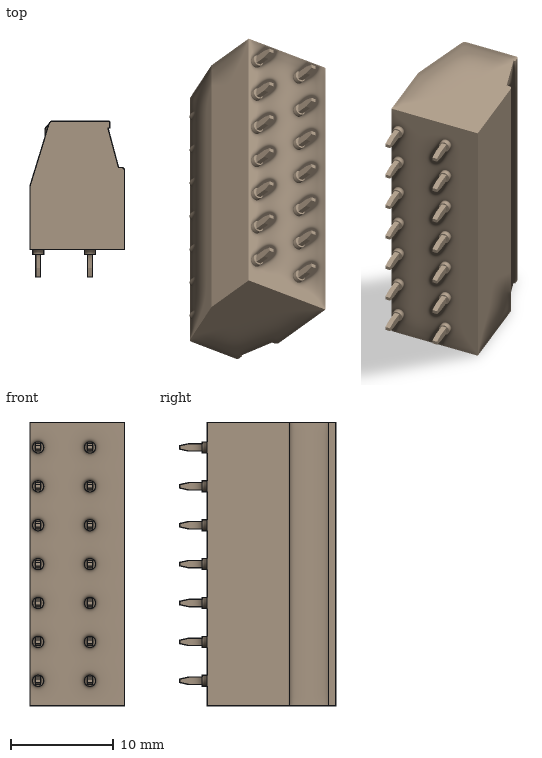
import cadquery as cq
import math

pole_count = 7
pole_pitch = 3.81
body_length = 27.78
pole_heights = [(i - (pole_count - 1) / 2) * pole_pitch for i in range(pole_count)]

body_width = 9.3
body_depth = 12.6
slope_start_y = 6.2
slope_angle = 17.1
top_right_x = 7.85
lip_height = 0.7
lip_overhang = 0.18
shoulder_x = 8.7
shoulder_y = 8.07
top_left_radius = 0.4
lip_radius = 0.15
shoulder_radius = 0.35

slope_tangent = math.tan(math.radians(slope_angle))
top_left_x = (body_depth - slope_start_y) * slope_tangent

overall_depth = 15.3
pin_length = overall_depth - body_depth
first_row_x = 0.82
row_spacing = 5.08
pin_rows = [first_row_x, first_row_x + row_spacing]
collar_diameter = 1.1
collar_height = 0.5
blade_thickness = 0.5
blade_width = 0.75
tip_width = 0.35
taper_length = 0.9

stud_radius = 0.42
stud_x = 1.9
stud_rim_y = body_depth - 0.7
stud_cone_height = 0.42
stud_edge_radius = 0.36
stud_root_depth = 1.2

plug_center_y = 8.83
plug_span_y = 3.55
plug_span_z = 1.12
plug_depth = 0.5


def make_housing():
    lip_bottom_y = body_depth - lip_height
    outline = [
        (0, 0),
        (body_width, 0),
        (body_width, shoulder_y),
        (shoulder_x, shoulder_y),
        (top_right_x - lip_overhang, lip_bottom_y),
        (top_right_x, lip_bottom_y),
        (top_right_x, body_depth),
        (top_left_x, body_depth),
        (0, slope_start_y),
    ]
    housing = cq.Workplane("XY").polyline(outline).close().extrude(body_length / 2, both=True)
    rounded_corners = [
        (top_left_x, body_depth, top_left_radius),
        (top_right_x, body_depth, lip_radius),
        (body_width, shoulder_y, shoulder_radius),
    ]
    for x, y, radius in rounded_corners:
        housing = housing.edges(cq.NearestToPointSelector((x, y, 0))).fillet(radius)
    return housing


def make_pin(x, z):
    collar = cq.Workplane("XZ").center(x, z).circle(collar_diameter / 2).extrude(collar_height)
    half_width = blade_width / 2
    half_tip = tip_width / 2
    taper_start_y = taper_length - pin_length
    blade_outline = [
        (0, -half_width),
        (taper_start_y, -half_width),
        (-pin_length, -half_tip),
        (-pin_length, half_tip),
        (taper_start_y, half_width),
        (0, half_width),
    ]
    blade = (
        cq.Workplane("YZ")
        .polyline(blade_outline)
        .close()
        .extrude(blade_thickness / 2, both=True)
        .translate((x, 0, z))
    )
    return collar.union(blade)


def make_stud(z):
    half_section = [
        (0, stud_rim_y - stud_root_depth),
        (stud_radius, stud_rim_y - stud_root_depth),
        (stud_radius, stud_rim_y),
        (0, stud_rim_y + stud_cone_height),
    ]
    stud = cq.Workplane("XY").polyline(half_section).close().revolve(360, (0, 0), (0, 1))
    rim = cq.NearestToPointSelector((0, stud_rim_y, 0))
    return stud.edges(rim).fillet(stud_edge_radius).translate((stud_x, 0, z))


def make_plug_half(housing, z, start_angle):
    half_span_y = plug_span_y / 2
    slope_end_x = (plug_center_y + half_span_y - slope_start_y) * slope_tangent
    half_plug = (
        cq.Workplane("YZ")
        .center(plug_center_y, z)
        .ellipseArc(half_span_y, plug_span_z / 2, start_angle, start_angle + 180, startAtCurrent=False)
        .close()
        .extrude(slope_end_x + plug_depth)
    )
    return half_plug.intersect(housing)


housing = make_housing()
result = housing
for z in pole_heights:
    result = result.union(make_stud(z))
    for x in pin_rows:
        result = result.union(make_pin(x, z))

plug_halves = [make_plug_half(housing, z, start_angle) for z in pole_heights for start_angle in (0, 180)]
for plug_half in plug_halves:
    result = result.cut(plug_half, clean=False)
for plug_half in plug_halves:
    result = result.union(plug_half, clean=False)